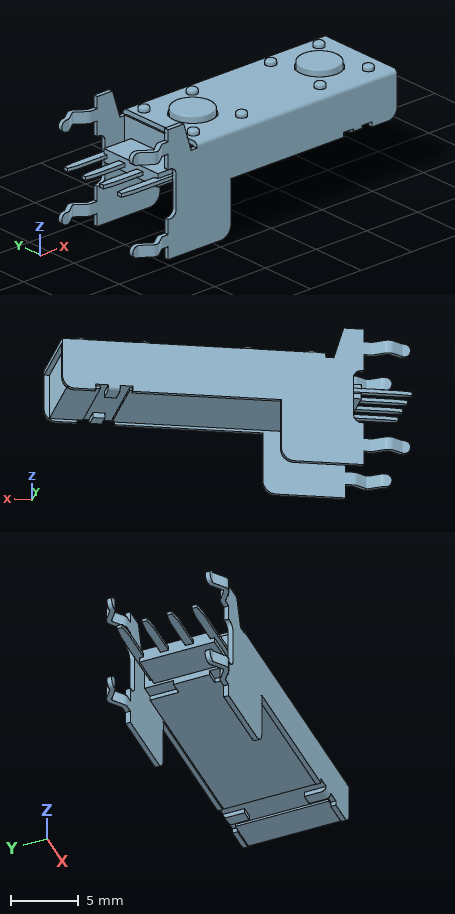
import cadquery as cq
import math


sheet = 0.4
bracket_width = 8.3
bracket_end = 22.6
bracket_height = 10.55
side_outer = bracket_width / 2
side_inner = side_outer - sheet

cover_top = 8.65
cover_underside = cover_top - sheet
cover_start = 2.86
beam_bottom = 4.7
beam_corner_radius = 0.9
foot_end = 6.2
foot_corner_radius = 1.0
ear_top_end = 1.53
ear_base_end = 2.27
ear_base_z = 8.2

recess_depth = 0.79
recess_bottom = 3.27
recess_top = 7.3
recess_radius = 0.6

relief_start = 17.32
relief_end = 20.1
tab_start = 18.27
tab_width = 0.9
tab_tip_y = 2.4

full_round = 0.999

tail_height = 1.0
tail_length = 3.5
tail_z_levels = (1.55, 9.06)
kink_peak_y = 9.75 / 2
kink_center_x = -1.76
kink_half_length = 1.15
kink_inner_radius = 0.15
kink_bend_radius = kink_inner_radius + sheet

housing_start = 2.7
housing_end = 22.2
housing_bottom = 4.9
channel_start = 17.5
channel_end = 19.7
channel_top = beam_bottom + sheet
corner_notch_inner_y = 1.45
corner_notch_top = 5.27
corner_notch_length = 1.0

plug_width = 6.0
plug_height = 1.1
plug_z = 6.04
pin_count = 4
pin_pitch = 2.0
pin_width = 0.65
pin_tip_width = 0.42
pin_thickness = 0.3
pin_tip_x = -3.78
pin_taper_x = -2.78

button_x_positions = (6.1, 18.6)
button_diameter = 3.5
button_hole_diameter = 3.7
button_height = 0.55
button_edge_radius = 0.15
rivet_diameter = 0.9
rivet_height = 0.4
rivet_edge_radius = 0.2
rivet_offset_x = 2.38
rivet_offset_y = 2.75


def block(x_range, y_range, z_range):
    """Axis-aligned box given by its limits."""
    size = [high - low for low, high in (x_range, y_range, z_range)]
    corner = (x_range[0], y_range[0], z_range[0])
    return cq.Workplane("XY").box(*size, centered=False).translate(corner)


def mirrored(body):
    """The body together with its reflection across the mid-plane."""
    return body.union(body.mirror("XZ"))


def make_side_plate():
    """Side plate at +Y: ear, foot, rear recess and beam, with the relief cut for the tab."""
    outline = [
        (0, 0),
        (foot_end, 0),
        (foot_end, beam_bottom),
        (bracket_end, beam_bottom),
        (bracket_end, cover_top),
        (cover_start, cover_top),
        (cover_start, ear_base_z),
        (ear_base_end, ear_base_z),
        (ear_top_end, bracket_height),
        (0, bracket_height),
        (0, recess_top),
        (recess_depth, recess_top),
        (recess_depth, recess_bottom),
        (0, recess_bottom),
    ]
    plate = cq.Workplane("XZ", origin=(0, side_outer, 0)).polyline(outline).close().extrude(sheet)

    def edge_at(x, z):
        return cq.selectors.NearestToPointSelector((x, side_outer - sheet / 2, z))

    plate = plate.edges(edge_at(foot_end, 0)).fillet(foot_corner_radius)
    plate = plate.edges(edge_at(bracket_end, beam_bottom)).fillet(beam_corner_radius)
    for corner_z in (recess_top, recess_bottom):
        plate = plate.edges(edge_at(recess_depth, corner_z)).fillet(recess_radius)

    relief = block((relief_start, relief_end), (side_inner, side_outer), (beam_bottom, channel_top))
    return plate.cut(relief)


def make_tab():
    """Tab bent inward from the +Y side plate, with a rounded outer bend."""
    tab = block((tab_start, tab_start + tab_width), (tab_tip_y, side_outer), (beam_bottom, channel_top))
    outer_bend = cq.selectors.NearestToPointSelector((tab_start + tab_width / 2, side_outer, beam_bottom))
    return tab.edges(outer_bend).fillet(sheet * full_round)


def kink_rise(angle):
    """Outward travel of the rounded kink for a given slope of its legs."""
    rounding_loss = kink_bend_radius * (1 / math.cos(angle) - 1)
    return kink_half_length * math.tan(angle) - rounding_loss


def kink_angle():
    """Slope of the kink legs that brings the rounded peak to its full height, by bisection."""
    low, high = 0.0, math.pi / 4
    target = kink_peak_y - side_outer
    for _ in range(50):
        middle = (low + high) / 2
        if kink_rise(middle) < target:
            low = middle
        else:
            high = middle
    return low


def make_tail(z):
    """Snap tail at +Y: a strip with an outward kink and a round tip."""
    angle = kink_angle()
    sharp_peak = side_outer + kink_half_length * math.tan(angle)
    bend_shift = sheet * math.tan(angle / 2)
    inner_half_length = kink_half_length - bend_shift
    inner_peak = sharp_peak - sheet / math.cos(angle)
    outline = [
        (0, side_inner),
        (kink_center_x + inner_half_length, side_inner),
        (kink_center_x, inner_peak),
        (kink_center_x - inner_half_length, side_inner),
        (-tail_length, side_inner),
        (-tail_length, side_outer),
        (kink_center_x - kink_half_length, side_outer),
        (kink_center_x, sharp_peak),
        (kink_center_x + kink_half_length, side_outer),
        (0, side_outer),
    ]
    bottom = z - tail_height / 2
    strip = cq.Workplane("XY", origin=(0, 0, bottom)).polyline(outline).close().extrude(tail_height)
    bends = [(kink_center_x, sharp_peak, kink_bend_radius), (kink_center_x, inner_peak, kink_inner_radius)]
    for side in (-1, 1):
        bends.append((kink_center_x + side * kink_half_length, side_outer, kink_inner_radius))
        bends.append((kink_center_x + side * inner_half_length, side_inner, kink_bend_radius))
    for x, y, radius in bends:
        strip = strip.edges(cq.selectors.NearestToPointSelector((x, y, z))).fillet(radius)
    return strip.edges("<X and |Y").fillet(tail_height / 2 * full_round)


def make_bracket():
    """Both side plates with tabs and tails, joined by the cover with its rounded bends."""
    side = make_side_plate().union(make_tab())
    for z in tail_z_levels:
        side = side.union(make_tail(z))
    cover = block(
        (cover_start, bracket_end),
        (-side_outer, side_outer),
        (cover_underside, cover_top),
    )
    bracket = mirrored(side).union(cover)
    beam_middle = (cover_start + bracket_end) / 2
    for y in (-side_outer, side_outer):
        bend = cq.selectors.NearestToPointSelector((beam_middle, y, cover_top))
        bracket = bracket.edges(bend).fillet(sheet)
    for x in button_x_positions:
        hole_base = cq.Workplane("XY", origin=(x, 0, cover_underside))
        hole = hole_base.circle(button_hole_diameter / 2).extrude(sheet)
        bracket = bracket.cut(hole)
    return bracket


def make_housing():
    """Block under the cover with a cross channel below and a notch in each lower rear corner."""
    housing = block(
        (housing_start, housing_end),
        (-side_inner, side_inner),
        (housing_bottom, cover_underside),
    )
    channel = block(
        (channel_start, channel_end),
        (-side_inner, side_inner),
        (housing_bottom, channel_top),
    )
    notch = block(
        (housing_start, housing_start + corner_notch_length),
        (corner_notch_inner_y, side_inner),
        (housing_bottom, corner_notch_top),
    )
    return housing.cut(channel).cut(mirrored(notch))


def make_pin(y):
    """Flat contact pin with a tapered tip."""
    half_width = pin_width / 2
    half_tip = pin_tip_width / 2
    outline = [
        (housing_start, y - half_width),
        (housing_start, y + half_width),
        (pin_taper_x, y + half_width),
        (pin_tip_x, y + half_tip),
        (pin_tip_x, y - half_tip),
        (pin_taper_x, y - half_width),
    ]
    bottom = plug_z - pin_thickness / 2
    return cq.Workplane("XY", origin=(0, 0, bottom)).polyline(outline).close().extrude(pin_thickness)


def make_connector():
    """Plug block and its row of contact pins."""
    connector = block(
        (0, housing_start),
        (-plug_width / 2, plug_width / 2),
        (plug_z - plug_height / 2, plug_z + plug_height / 2),
    )
    for index in range(pin_count):
        connector = connector.union(make_pin((index - (pin_count - 1) / 2) * pin_pitch))
    return connector


def make_domed_disc(x, y, base_z, diameter, top_z, edge_radius):
    """Upright disc with a rounded top edge."""
    disc = cq.Workplane("XY", origin=(x, y, base_z)).circle(diameter / 2).extrude(top_z - base_z)
    return disc.faces(">Z").edges().fillet(edge_radius)


def make_button_group(x):
    """Push button standing on the housing, with four rivets on the cover around it."""
    button_top = cover_top + button_height
    rivet_top = cover_top + rivet_height
    group = make_domed_disc(x, 0, cover_underside, button_diameter, button_top, button_edge_radius)
    for side_x in (-1, 1):
        for side_y in (-1, 1):
            rivet_x = x + side_x * rivet_offset_x
            rivet_y = side_y * rivet_offset_y
            rivet = make_domed_disc(
                rivet_x, rivet_y, cover_top, rivet_diameter, rivet_top, rivet_edge_radius
            )
            group = group.union(rivet)
    return group


result = make_bracket().union(make_housing()).union(make_connector())
for button_x in button_x_positions:
    result = result.union(make_button_group(button_x))